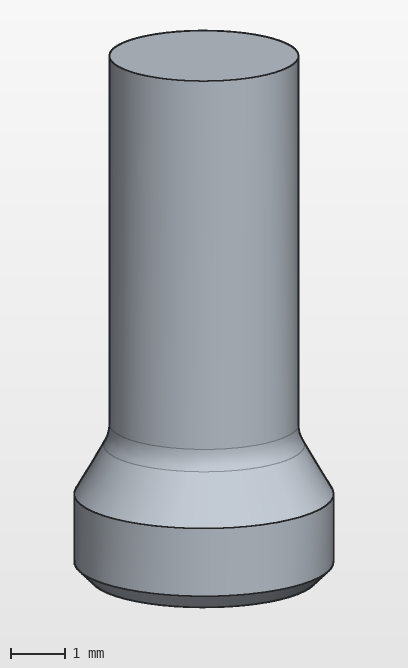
import cadquery as cq
import math

total_height = 10.0
shaft_radius = 1.75
head_radius = 2.4
head_top = 1.6
base_chamfer = 0.3
cone_angle = math.radians(30)
neck_fillet = 0.8

neck_radius = shaft_radius + neck_fillet * (1 - math.cos(cone_angle))
cone_top = head_top + (head_radius - neck_radius) / math.tan(cone_angle)
blend_top = cone_top + neck_fillet * math.sin(cone_angle)
half_angle = cone_angle / 2
blend_middle = (
    shaft_radius + neck_fillet * (1 - math.cos(half_angle)),
    blend_top - neck_fillet * math.sin(half_angle),
)

profile = (
    cq.Workplane("XZ")
    .lineTo(head_radius - base_chamfer, 0)
    .lineTo(head_radius, base_chamfer)
    .lineTo(head_radius, head_top)
    .lineTo(neck_radius, cone_top)
    .threePointArc(blend_middle, (shaft_radius, blend_top))
    .lineTo(shaft_radius, total_height)
    .lineTo(0, total_height)
    .close()
)
result = profile.revolve(360, (0, 0, 0), (0, 1, 0))